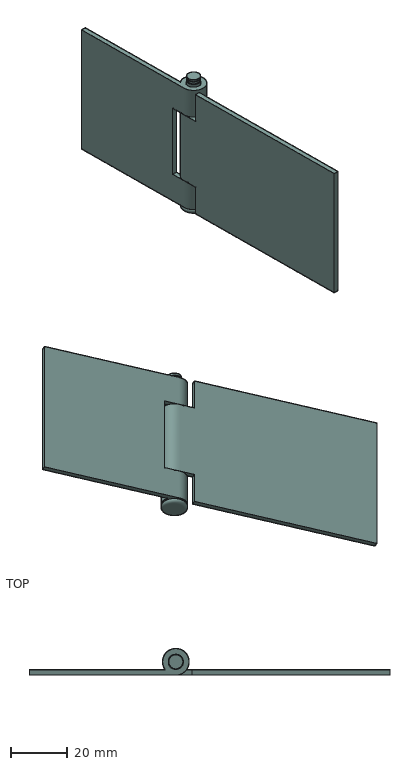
import cadquery as cq

total_length = 128.0
left_reach = 52.0
right_reach = total_length - left_reach
leaf_height = 51.0
plate_thickness = 1.9

knuckle_diameter = 9.5
knuckle_radius = knuckle_diameter / 2
axis_y = knuckle_radius
middle_knuckle_height = 28.2
end_knuckle_height = (leaf_height - middle_knuckle_height) / 2
upper_joint_z = leaf_height - end_knuckle_height
notch_reach = 5.8

pin_diameter = 5.0
pin_radius = pin_diameter / 2
bore_radius = 2.7
pin_projection = 3.1
groove_radius = pin_radius - 0.4
groove_width = 1.2
groove_to_tip = 0.9
head_height = 2.0
head_edge_radius = head_height / 2


def cylinder_on_axis(radius, bottom_z, height):
    """Cylinder on the pin axis."""
    return cq.Workplane("XY", origin=(0, axis_y, bottom_z)).circle(radius).extrude(height)


def plate(x_start, x_end, bottom_z, height):
    """Flat plate portion between two X positions."""
    return (
        cq.Workplane("XY", origin=(0, 0, bottom_z))
        .moveTo(x_start, 0)
        .lineTo(x_end, 0)
        .lineTo(x_end, plate_thickness)
        .lineTo(x_start, plate_thickness)
        .close()
        .extrude(height)
    )


def leaf(outer_x, notch_x, knuckle_spans):
    """Plate with a tangent knuckle, bored for the pin, at each (bottom, height) span."""
    body = plate(outer_x, notch_x, 0, leaf_height)
    for bottom_z, height in knuckle_spans:
        body = body.union(plate(notch_x, 0, bottom_z, height))
        body = body.union(cylinder_on_axis(knuckle_radius, bottom_z, height))
    return body.cut(cylinder_on_axis(bore_radius, 0, leaf_height))


def pin_head():
    """Disc with a fully rounded rim, below the lower end of the leaves."""
    flat_radius = knuckle_radius - head_edge_radius
    return (
        cq.Workplane("XZ", origin=(0, axis_y, 0))
        .lineTo(flat_radius, 0)
        .threePointArc((knuckle_radius, -head_edge_radius), (flat_radius, -head_height))
        .lineTo(0, -head_height)
        .close()
        .revolve(360, (0, 0, 0), (0, 1, 0))
    )


def make_pin():
    """Headed pin with a retaining groove near its tip."""
    shank = cylinder_on_axis(pin_radius, 0, leaf_height + pin_projection)
    groove_bottom_z = leaf_height + pin_projection - groove_to_tip - groove_width
    groove = cylinder_on_axis(pin_radius, groove_bottom_z, groove_width).cut(
        cylinder_on_axis(groove_radius, groove_bottom_z, groove_width)
    )
    return pin_head().union(shank).cut(groove)


left_leaf = leaf(
    -left_reach,
    -notch_reach,
    [(0, end_knuckle_height), (upper_joint_z, end_knuckle_height)],
)
right_leaf = leaf(right_reach, notch_reach, [(end_knuckle_height, middle_knuckle_height)])
pin = make_pin()

result = cq.Compound.makeCompound([left_leaf.solids().val(), right_leaf.solids().val(), pin.solids().val()])